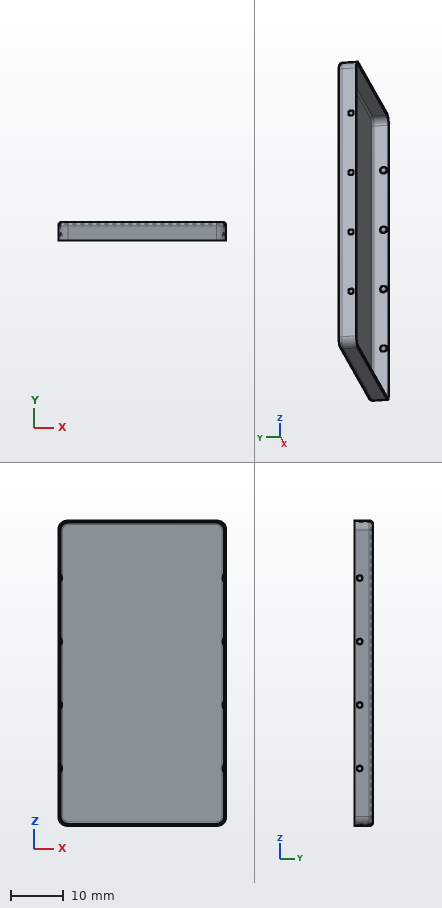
import cadquery as cq
import math

width = 31.6
depth = 3.5
height = 57.6
wall = 0.35
corner_radius = 1.8
back_edge_radius = 0.75

detent_count = 4
detent_pitch = 12.0
detent_from_rim = 1.0
dimple_radius = 0.5
bump_radius = 0.65
dimple_depth = 0.3
bump_height = 0.3

rim_y = -depth / 2


def rounded_block(inset):
    """Rounded tray outline moved inward by inset; the front moves by the same amount."""
    block = cq.Workplane("XY").box(width - 2 * inset, depth, height - 2 * inset)
    block = block.translate((0, -inset, 0))
    block = block.edges("|Y").fillet(corner_radius - inset)
    return block.faces(">Y").edges().fillet(back_edge_radius - inset)


def spherical_cap(base_x, y, z, base_radius, rise, inward):
    """Spherical cap on the plane X = base_x, rising along X in the inward direction."""
    ball_radius = (base_radius**2 + rise**2) / (2 * rise)
    half_angle = math.asin(base_radius / ball_radius) / 2
    arc_middle = (
        rise - ball_radius * (1 - math.cos(half_angle)),
        ball_radius * math.sin(half_angle),
    )
    profile = (
        cq.Workplane("XY")
        .lineTo(inward * rise, 0)
        .threePointArc((inward * arc_middle[0], arc_middle[1]), (0, base_radius))
        .close()
    )
    cap = profile.revolve(360, (0, 0, 0), (1, 0, 0))
    return cap.translate((base_x, y, z))


result = rounded_block(0).cut(rounded_block(wall))

detent_y = rim_y + detent_from_rim
for side in (-1, 1):
    outer_x = side * width / 2
    inner_x = side * (width / 2 - wall)
    for index in range(detent_count):
        detent_z = (index - (detent_count - 1) / 2) * detent_pitch
        bump = spherical_cap(inner_x, detent_y, detent_z, bump_radius, bump_height, -side)
        dimple = spherical_cap(outer_x, detent_y, detent_z, dimple_radius, dimple_depth, -side)
        result = result.union(bump).cut(dimple)